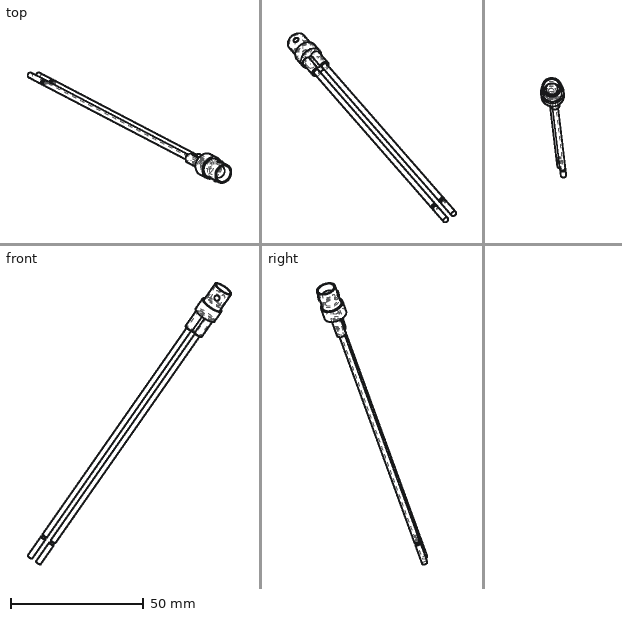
import cadquery as cq
import math

AXIS = (0.55, -0.287, 0.788)

COLLAR_DIAMETER = 8.7
COLLAR_LENGTH = 4.8
BARREL_DIAMETER = 7.3
BARREL_LENGTH = 7.8
SOCKET_DIAMETER = 6.3
SOCKET_DEPTH = 6.4
CORE_DIAMETER = 4.5
CORE_RECESS = 1.6
CORE_DOME_HEIGHT = 0.9
LUG_DIAMETER = 2.0
LUG_HEIGHT = 0.2
LUG_SETBACK = 3.3
RIM = COLLAR_LENGTH + BARREL_LENGTH

BOOT_DIAMETER = 3.6
BOOT_LENGTH = 7.9
LEAD_SPACING = 3.8
WEB_THICKNESS = 2.5

WIRE_DIAMETER = 2.1
LEAD_LENGTH = 117.8
NECK_DIAMETER = 1.5
NECK_LENGTH = 1.1
TIP_LENGTH = 9.2
WIRE_LENGTH = LEAD_LENGTH - TIP_LENGTH - NECK_LENGTH

LEAD_OFFSETS = (-LEAD_SPACING / 2, LEAD_SPACING / 2)

LEAD_DIRECTION = (AXIS[2], 0, -AXIS[0])
CONNECTOR_PLANE = cq.Plane(origin=(0, 0, 0), xDir=LEAD_DIRECTION, normal=AXIS)


def cylinder(diameter, start, length, offset=0):
    """Cylinder along the local Z axis, offset along local X."""
    disc = cq.Workplane("XY").workplane(offset=start).center(offset, 0).circle(diameter / 2)
    return disc.extrude(length)


def make_shell():
    """Collar and barrel with two opposite lugs and an open socket."""
    shell = cylinder(COLLAR_DIAMETER, 0, COLLAR_LENGTH)
    shell = shell.union(cylinder(BARREL_DIAMETER, COLLAR_LENGTH, BARREL_LENGTH))

    lug_span = BARREL_DIAMETER + 2 * LUG_HEIGHT
    lugs = (
        cq.Workplane("XZ")
        .center(0, RIM - LUG_SETBACK)
        .circle(LUG_DIAMETER / 2)
        .extrude(lug_span / 2, both=True)
    )
    shell = shell.union(lugs)
    return shell.cut(cylinder(SOCKET_DIAMETER, RIM - SOCKET_DEPTH, SOCKET_DEPTH))


def make_core():
    """Domed post standing on the socket floor."""
    base = RIM - SOCKET_DEPTH
    apex = RIM - CORE_RECESS
    shoulder = apex - CORE_DOME_HEIGHT
    radius = CORE_DIAMETER / 2
    dome_radius = (radius**2 + CORE_DOME_HEIGHT**2) / (2 * CORE_DOME_HEIGHT)
    half_angle = math.asin(radius / dome_radius) / 2
    arc_middle = (
        dome_radius * math.sin(half_angle),
        apex - dome_radius * (1 - math.cos(half_angle)),
    )
    profile = (
        cq.Workplane("XZ")
        .moveTo(0, base)
        .lineTo(radius, base)
        .lineTo(radius, shoulder)
        .threePointArc(arc_middle, (0, apex))
        .close()
    )
    return profile.revolve(360, (0, 0, 0), (0, 1, 0))


def make_boots():
    """Two tubes joined by a web, bored for the wires."""
    boots = (
        cq.Workplane("XY")
        .workplane(offset=-BOOT_LENGTH)
        .rect(LEAD_SPACING, WEB_THICKNESS)
        .extrude(BOOT_LENGTH)
    )
    for offset in LEAD_OFFSETS:
        boots = boots.union(cylinder(BOOT_DIAMETER, -BOOT_LENGTH, BOOT_LENGTH, offset))
    for offset in LEAD_OFFSETS:
        boots = boots.cut(cylinder(WIRE_DIAMETER, -BOOT_LENGTH, BOOT_LENGTH, offset))
    return boots


def make_connector():
    """Shell, core and boots in one piece."""
    return make_shell().union(make_core()).union(make_boots())


def make_wire(offset):
    """Plain wire running back from the collar through its boot."""
    return cylinder(WIRE_DIAMETER, -WIRE_LENGTH, WIRE_LENGTH, offset)


def make_tip(offset):
    """Tip whose narrow neck touches the end of the wire."""
    tip = cylinder(WIRE_DIAMETER, -LEAD_LENGTH, TIP_LENGTH, offset)
    neck = cylinder(NECK_DIAMETER, -WIRE_LENGTH - NECK_LENGTH, NECK_LENGTH, offset)
    return tip.union(neck)


def place(body):
    """Turn a body from the upright local frame onto the connector axis."""
    return body.val().moved(cq.Location(CONNECTOR_PLANE))


connector = place(make_connector())
wires = []
tips = []
for lead_offset in LEAD_OFFSETS:
    wires.append(place(make_wire(lead_offset)))
    tips.append(place(make_tip(lead_offset)))

result = cq.Compound.makeCompound([connector, *wires, *tips])